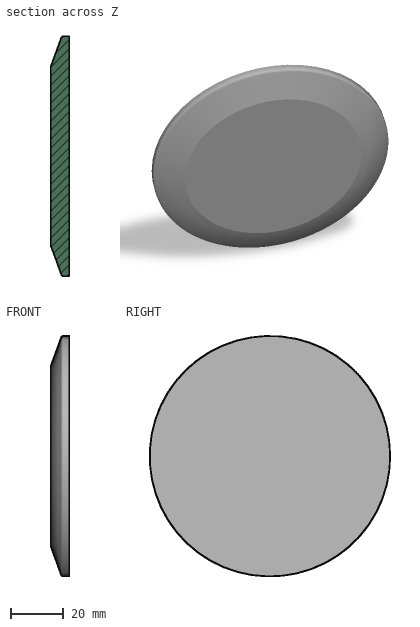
import cadquery as cq
import math

outer_diameter = 91.0
face_diameter = 68.2
thickness = 7.0
cone_angle = 20.0
edge_radius = 1.0

outer_radius = outer_diameter / 2
face_radius = face_diameter / 2
cone_depth = (outer_radius - face_radius) * math.tan(math.radians(cone_angle))
front_x = -thickness / 2
back_x = thickness / 2
rim_start_x = front_x + cone_depth


def make_disc():
    """Disc about the X axis: flat front face, conical flank, cylindrical rim."""
    profile = (
        cq.Workplane("XY")
        .moveTo(front_x, 0)
        .lineTo(front_x, face_radius)
        .lineTo(rim_start_x, outer_radius)
        .lineTo(back_x, outer_radius)
        .lineTo(back_x, 0)
        .close()
    )
    return profile.revolve(360, (0, 0, 0), (1, 0, 0))


def round_rim(disc):
    """Round the edge where the conical flank meets the rim."""
    rim_edge = cq.selectors.BoxSelector(
        (rim_start_x - edge_radius, -outer_diameter, -outer_diameter),
        (rim_start_x + edge_radius, outer_diameter, outer_diameter),
        boundingbox=True,
    )
    return disc.edges(rim_edge).fillet(edge_radius)


result = round_rim(make_disc())